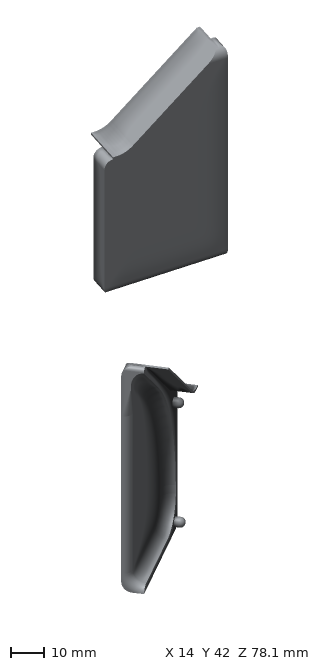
import cadquery as cq
import math

plate_thickness = 7.0
plate_width = 42.0
plate_height = 78.1
corner_radius = 3.0
back_edge_radius = 3.3

slope_angle = math.radians(40)
tip_radius = 1.25
shelf_z = 50.6
shelf_front_y = corner_radius
bend_radius = 9.1

flange_thickness = 0.7
flange_overhang = 6.95
flange_top_z = 77.9

rim_width = 2.3
pocket_depth = 4.1
pocket_floor_radius = 4.0
pocket_corner_radius = 10.0
pocket_arc_radius = 60.0
pocket_arc_start_z = 15.2
pocket_runout = 15.6

rear_edge_radius = 2.65
rear_edge_fade_z = 60.8
rear_edge_end_z = 69.9
rear_edge_end_radius = 0.2

pin_radius = 1.65
pin_length = 3.2
pin_centers = [(4.9, 45.5), (3.1, 3.05)]

slope = math.tan(slope_angle)
sin_slope = math.sin(slope_angle)
cos_slope = math.cos(slope_angle)

tip_z = plate_height + tip_radius * (slope + 1 / cos_slope - 1)
slope_foot_y = plate_width - (tip_z - shelf_z) / slope
bend_tangent = bend_radius * math.tan(slope_angle / 2)


def plate_edge_offset(offset):
    """Top edge shifted outward: shelf/bend, mid-bend and bend/slope points."""
    radius = bend_radius - offset
    center_y = slope_foot_y - bend_tangent
    center_z = shelf_z + bend_radius

    def on_bend(angle):
        return (center_y + radius * math.sin(angle), center_z - radius * math.cos(angle))

    return on_bend(0), on_bend(slope_angle / 2), on_bend(slope_angle)


def make_plate():
    shelf_end, bend_middle, slope_start = plate_edge_offset(0)
    tip_center_y = plate_width - tip_radius
    tip_center_z = plate_height - tip_radius
    tip_start = (tip_center_y - tip_radius * sin_slope, tip_center_z + tip_radius * cos_slope)
    corner_inset = corner_radius * (1 - math.sqrt(0.5))
    return (
        cq.Workplane("YZ")
        .moveTo(plate_width, 0)
        .lineTo(corner_radius, 0)
        .threePointArc((corner_inset, corner_inset), (0, corner_radius))
        .lineTo(0, shelf_z - corner_radius)
        .threePointArc((corner_inset, shelf_z - corner_inset), (corner_radius, shelf_z))
        .lineTo(*shelf_end)
        .threePointArc(bend_middle, slope_start)
        .lineTo(*tip_start)
        .threePointArc((tip_center_y, plate_height), (plate_width, tip_center_z))
        .close()
        .extrude(plate_thickness)
    )


def make_flange():
    lower_shelf, lower_middle, lower_slope = plate_edge_offset(0)
    upper_shelf, upper_middle, upper_slope = plate_edge_offset(flange_thickness)
    lower_end_y = lower_slope[0] + (flange_top_z - lower_slope[1]) / slope
    upper_end_y = upper_slope[0] + (flange_top_z - upper_slope[1]) / slope
    return (
        cq.Workplane("YZ", origin=(-flange_overhang, 0, 0))
        .moveTo(shelf_front_y, shelf_z)
        .lineTo(*lower_shelf)
        .threePointArc(lower_middle, lower_slope)
        .lineTo(lower_end_y, flange_top_z)
        .lineTo(upper_end_y, flange_top_z)
        .lineTo(*upper_slope)
        .threePointArc(upper_middle, upper_shelf)
        .lineTo(shelf_front_y, shelf_z + flange_thickness)
        .close()
        .extrude(flange_overhang + plate_thickness)
    )


def make_envelope():
    """Block that rounds the top and bottom edges of the back face."""
    return (
        cq.Workplane("XY")
        .box(plate_thickness + flange_overhang, plate_width, plate_height, centered=False)
        .translate((-flange_overhang, 0, 0))
        .edges(">X and |Y")
        .fillet(back_edge_radius)
    )


def make_pocket():
    arc_center_y = rim_width + pocket_arc_radius
    sweep_angle = math.pi / 2 - slope_angle

    def on_arc(angle):
        return (
            arc_center_y - pocket_arc_radius * math.cos(angle),
            pocket_arc_start_z + pocket_arc_radius * math.sin(angle),
        )

    arc_end = on_arc(sweep_angle)
    rear_y = plate_width + pocket_runout
    corner_end = rim_width + pocket_corner_radius
    corner_middle = corner_end - pocket_corner_radius * math.sqrt(0.5)
    return (
        cq.Workplane("YZ")
        .moveTo(rear_y, rim_width)
        .lineTo(corner_end, rim_width)
        .threePointArc((corner_middle, corner_middle), (rim_width, corner_end))
        .lineTo(rim_width, pocket_arc_start_z)
        .threePointArc(on_arc(sweep_angle / 2), arc_end)
        .lineTo(rear_y, arc_end[1] + (rear_y - arc_end[0]) * slope)
        .close()
        .extrude(pocket_depth)
        .faces(">X")
        .edges("not(>Y)")
        .fillet(pocket_floor_radius)
    )


def make_pin(y, z):
    shank = cq.Workplane("YZ", origin=(pin_radius - pin_length, y, z)).circle(pin_radius).extrude(pin_length)
    dome = cq.Workplane("XY").sphere(pin_radius).translate((pin_radius - pin_length, y, z))
    return shank.union(dome)


def rear_edge_section(workplane, radius, floor_x):
    """Waste to remove outside a convex quarter arc between the pocket floor and the rear face."""
    inset = radius * (1 - math.sqrt(0.5))
    return (
        workplane.moveTo(floor_x, plate_width - radius)
        .threePointArc((floor_x + inset, plate_width - inset), (floor_x + radius, plate_width))
        .lineTo(floor_x, plate_width)
        .close()
    )


def make_rear_edge_rounding():
    """Cutter rounding the pocket's rear edge: straight, around the bottom curve, faded at the top."""
    curve_z = rim_width + pocket_floor_radius
    curve_x = pocket_depth - pocket_floor_radius
    level = cq.Workplane("XY", origin=(0, 0, curve_z))
    straight = rear_edge_section(level, rear_edge_radius, pocket_depth).extrude(rear_edge_fade_z - curve_z)
    bottom = rear_edge_section(level, rear_edge_radius, pocket_depth).revolve(
        90, (curve_x, 0, 0), (curve_x, 1, 0)
    )
    land = cq.Solid.extrudeLinear(bottom.faces("<X").val(), cq.Vector(-curve_x, 0, 0))
    fade_start = cq.Workplane("XY", origin=(0, 0, rear_edge_fade_z))
    fade = rear_edge_section(fade_start, rear_edge_radius, pocket_depth)
    fade = rear_edge_section(
        fade.workplane(offset=rear_edge_end_z - rear_edge_fade_z), rear_edge_end_radius, pocket_depth
    ).loft(ruled=True)
    return straight.union(bottom).union(land).union(fade)


result = make_plate().cut(make_pocket()).cut(make_rear_edge_rounding())
result = result.union(make_flange()).intersect(make_envelope())
for pin_y, pin_z in pin_centers:
    result = result.union(make_pin(pin_y, pin_z))